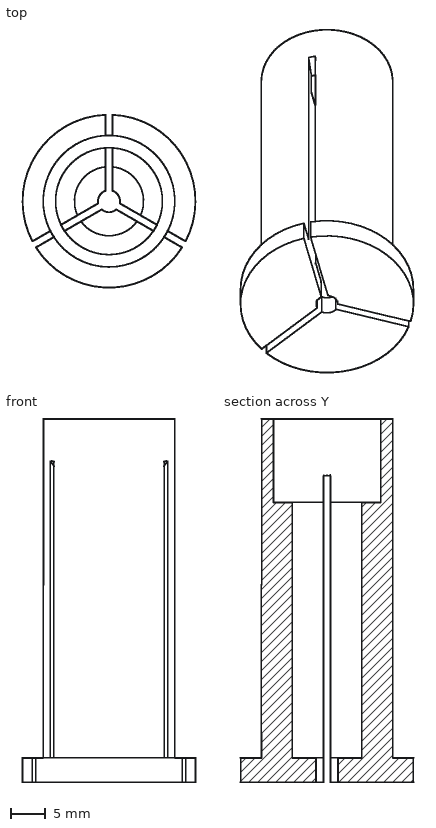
import cadquery as cq
import math

total_height = 52.5
flange_diameter = 25.0
flange_thickness = 3.55
sleeve_diameter = 19.0
bore_diameter = 15.45
bore_floor_height = 40.4
counterbore_diameter = 10.0
end_wall_thickness = flange_thickness
end_hole_diameter = 3.15

slot_count = 3
first_slot_angle = 90.0
slot_width = 1.0
slot_top_height = 46.4
slot_ceiling_angle = 50.0


def cylinder(diameter, bottom, top):
    """Upright cylinder on the Z axis between two heights."""
    return cq.Workplane("XY").workplane(offset=bottom).circle(diameter / 2).extrude(top - bottom)


def make_sleeve():
    """Flanged sleeve with a stepped bore."""
    sleeve = cylinder(flange_diameter, 0, flange_thickness)
    sleeve = sleeve.union(cylinder(sleeve_diameter, 0, total_height))
    sleeve = sleeve.cut(cylinder(bore_diameter, bore_floor_height, total_height))
    sleeve = sleeve.cut(cylinder(counterbore_diameter, end_wall_thickness, bore_floor_height))
    return sleeve.cut(cylinder(end_hole_diameter, 0, end_wall_thickness))


def make_slot(angle):
    """Radial slot cutter pointing outward at the given angle about Z."""
    sleeve_radius = sleeve_diameter / 2
    flange_radius = flange_diameter / 2
    ceiling_drop = sleeve_radius * math.tan(math.radians(slot_ceiling_angle))
    profile = [
        (0, 0),
        (flange_radius, 0),
        (flange_radius, slot_top_height),
        (sleeve_radius, slot_top_height),
        (0, slot_top_height - ceiling_drop),
    ]
    slot = cq.Workplane("XZ").polyline(profile).close().extrude(slot_width / 2, both=True)
    return slot.rotate((0, 0, 0), (0, 0, 1), angle)


result = make_sleeve()
for index in range(slot_count):
    result = result.cut(make_slot(first_slot_angle + index * 360 / slot_count))